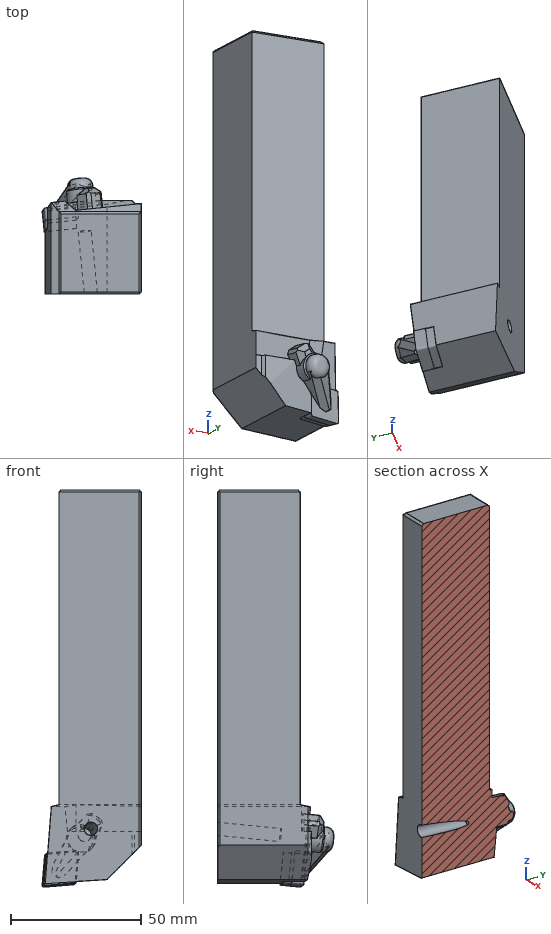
import cadquery as cq
import math

overall_length = 152.4
shank_width = 31.7
shank_chamfer = 0.9

tip_offset = 6.4
head_top = 36.0
shoulder_z = 31.7
step_corner = (-2.9, 31.0)
heel_corner = (-5.2, 1.4)
toe_corner = (18.5, 2.9)
bevel_rise = shank_width - toe_corner[0]
back_slope = 0.22
ledge_y = 34.7
ledge_x = 29.1
ledge_bevel_x = 28.0

trough_front_z = 21.3
trough_rim_x = 2.0
trough_bottom = (6.5, 32.2)

tilt = 0.1
tip_y = 31.9
corner_angle = 80
insert_heading = 45
edge_length = 12.8
nose_radius = 0.8
insert_thickness = 4.7
shim_thickness = 3.2
shim_edge_length = 12.6

screw_foot = (12.3, 0, 22.4)
screw_hole_diameter = 5.0
screw_hole_depth = 24.4
clamp_heading = 54.5
collar_diameter = 11.0
collar_height = 6.1
collar_bevel = 1.4
boss_diameter = 9.8
clamp_height = 9.3
boss_round = 3
nose_reach = 17.8
nose_lip = 1.2
nose_width = 5.5
arm_crest_reach = 2.7
arm_height = 8.5
arm_width = 9.8
arm_chamfer = 2.3
tail_reach = 9.6
tail_start = 3
tail_root_width = 8.8
tail_width = 6.7
tail_height = 4.7
tail_bevel = 2.3
tail_chamfer = 1.2
tail_sink = 3.7

face_normal = cq.Vector(-tilt, 1, -tilt).normalized()
nose_centre = cq.Vector(nose_radius - tip_offset, tip_y, nose_radius)


def tilted_plane(origin, heading):
    """Plane parallel to the insert face, its x axis at `heading` degrees from X towards Z."""
    along = cq.Vector(math.cos(math.radians(heading)), 0, math.sin(math.radians(heading)))
    along = along - face_normal * along.dot(face_normal)
    return cq.Plane(origin=origin, xDir=along, normal=face_normal)


insert_plane = tilted_plane(nose_centre, insert_heading)

screw_foot_point = cq.Vector(*screw_foot)
foot_depth = (nose_centre - screw_foot_point).dot(face_normal)
clamp_plane = tilted_plane(screw_foot_point + face_normal * foot_depth, clamp_heading)


def rhombic_plate(top_depth, thickness, edge):
    """Plate shaped like the insert, its top `top_depth` below the insert face."""
    half_angle = math.radians(corner_angle / 2)
    half_long = edge * math.cos(half_angle)
    half_short = edge * math.sin(half_angle)
    nose_x = -nose_radius / math.sin(half_angle)
    plate = (
        cq.Workplane(insert_plane)
        .workplane(offset=-top_depth)
        .polyline([
            (nose_x, 0),
            (nose_x + half_long, half_short),
            (nose_x + 2 * half_long, 0),
            (nose_x + half_long, -half_short),
        ])
        .close()
        .extrude(-thickness)
    )
    return plate.edges(cq.selectors.ParallelDirSelector(face_normal)).fillet(nose_radius)


def make_shank():
    """Square bar above the head, bevelled around its upper end."""
    shank = (
        cq.Workplane("XY")
        .workplane(offset=shoulder_z)
        .rect(shank_width, shank_width, centered=False)
        .extrude(overall_length - shoulder_z)
    )
    return shank.faces(">Z").chamfer(shank_chamfer)


def make_head():
    """Head cut by the tilted insert face, with a sloping back and the clamp trough."""
    outline = (
        cq.Workplane("XZ")
        .polyline([
            (0, shoulder_z),
            step_corner,
            heel_corner,
            toe_corner,
            (shank_width, toe_corner[1] + bevel_rise),
            (shank_width, shoulder_z),
        ])
        .close()
        .extrude(-head_top)
    )
    section = (
        cq.Workplane("XY")
        .polyline([
            (-tip_offset, 0),
            (shank_width, 0),
            (shank_width, ledge_y),
            (ledge_x, ledge_y),
            (ledge_bevel_x, head_top),
            (-tip_offset, head_top),
        ])
        .close()
        .extrude(shoulder_z)
    )
    rise = head_top - shank_width
    back_relief = (
        cq.Workplane("YZ")
        .workplane(offset=-tip_offset)
        .polyline([
            (shank_width, shoulder_z),
            (head_top, shoulder_z),
            (head_top, shoulder_z - back_slope * rise),
        ])
        .close()
        .extrude(tip_offset + shank_width)
    )
    trough = (
        cq.Workplane("XY")
        .workplane(offset=trough_front_z)
        .polyline([
            (trough_rim_x, head_top),
            trough_bottom,
            (shank_width, ledge_y),
            (shank_width, head_top),
        ])
        .close()
        .extrude(shoulder_z - trough_front_z)
    )
    above_face = cq.Workplane(insert_plane).rect(2 * overall_length, 2 * overall_length).extrude(head_top)
    return outline.intersect(section).cut(back_relief).cut(trough).cut(above_face)


def make_collar():
    """Bevelled round body of the clamp, around the screw axis."""
    return (
        cq.Workplane(clamp_plane)
        .circle(collar_diameter / 2)
        .extrude(collar_height)
        .faces(cq.selectors.DirectionMinMaxSelector(face_normal, True))
        .edges()
        .chamfer(collar_bevel)
    )


def make_boss():
    """Domed screw head on top of the collar."""
    return (
        cq.Workplane(clamp_plane)
        .circle(boss_diameter / 2)
        .extrude(clamp_height)
        .faces(cq.selectors.DirectionMinMaxSelector(face_normal, True))
        .edges()
        .fillet(boss_round)
    )


def make_arm():
    """Sloping arm that narrows from the screw head to its nose on the insert."""
    side_plane = cq.Plane(
        origin=clamp_plane.origin,
        xDir=clamp_plane.xDir,
        normal=clamp_plane.xDir.cross(face_normal),
    )
    profile = (
        cq.Workplane(side_plane)
        .polyline([
            (-nose_reach, 0),
            (-nose_reach, nose_lip),
            (-arm_crest_reach, arm_height),
            (0, arm_height),
            (0, 0),
        ])
        .close()
        .extrude(arm_width / 2, both=True)
    )
    plan = (
        cq.Workplane(clamp_plane)
        .polyline([
            (-nose_reach, nose_width / 2),
            (0, arm_width / 2),
            (0, -arm_width / 2),
            (-nose_reach, -nose_width / 2),
        ])
        .close()
        .extrude(clamp_height)
    )
    slope_middle = clamp_plane.toWorldCoords((-(nose_reach + arm_crest_reach) / 2, 0, arm_height / 2))
    arm = profile.intersect(plan)
    slope = arm.faces(cq.selectors.NearestToPointSelector(slope_middle.toTuple()))
    long_edges = cq.selectors.ParallelDirSelector(clamp_plane.yDir)
    return slope.edges(cq.selectors.InverseSelector(long_edges)).chamfer(arm_chamfer)


def make_tail():
    """Bevelled tail that narrows behind the screw head and stands in the trough."""
    tail = (
        cq.Workplane(clamp_plane)
        .workplane(offset=-tail_sink)
        .polyline([
            (tail_start, tail_root_width / 2),
            (tail_reach, tail_width / 2),
            (tail_reach, -tail_width / 2),
            (tail_start, -tail_root_width / 2),
        ])
        .close()
        .extrude(tail_sink + tail_height)
        .faces(cq.selectors.DirectionMinMaxSelector(face_normal, True))
        .edges()
        .chamfer(tail_bevel)
    )
    end_face = tail.faces(cq.selectors.DirectionMinMaxSelector(clamp_plane.xDir, True))
    return end_face.edges(cq.selectors.ParallelDirSelector(face_normal)).chamfer(tail_chamfer)


def make_holder():
    """Shank, head, shim and clamp as one solid, with the insert pocket and screw hole."""
    holder = make_shank().union(make_head())
    holder = holder.edges("|Z and >X and <Y").chamfer(shank_chamfer)
    screw_hole = (
        cq.Workplane(tilted_plane(screw_foot, 0))
        .workplane(offset=-screw_hole_diameter)
        .circle(screw_hole_diameter / 2)
        .extrude(screw_hole_diameter + screw_hole_depth)
    )
    insert_pocket = rhombic_plate(0, insert_thickness, edge_length)
    shim = rhombic_plate(insert_thickness, shim_thickness, shim_edge_length)
    holder = holder.cut(screw_hole).cut(insert_pocket).union(shim)
    return holder.union(make_collar()).union(make_boss()).union(make_arm()).union(make_tail())


def make_insert():
    """Cutting insert that fills its pocket above the shim."""
    return rhombic_plate(0, insert_thickness, edge_length)


holder = make_holder()
insert = make_insert()
result = cq.Compound.makeCompound([holder.val(), insert.val()])